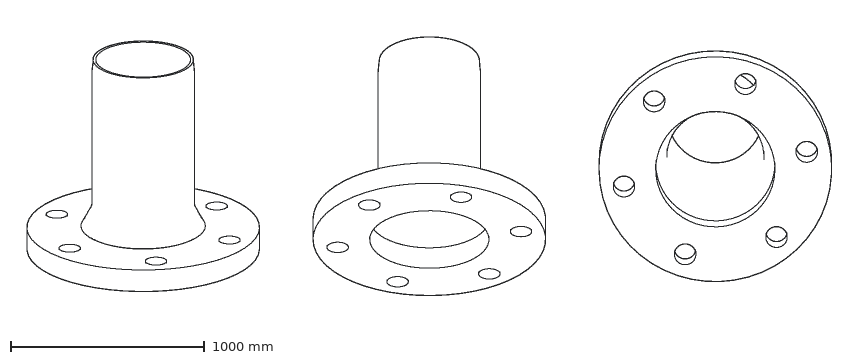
import cadquery as cq
import math

FLANGE_DIAMETER = 1200.0
FLANGE_THICKNESS = 120.0
FLANGE_BORE = 615.0
BOLT_CIRCLE_DIAMETER = 960.0
BOLT_HOLE_DIAMETER = 110.0
BOLT_COUNT = 6

TOTAL_HEIGHT = 1050.0
TUBE_OUTER_DIAMETER = 530.0
TUBE_INNER_DIAMETER = 500.0
FLARE_ANGLE = math.radians(28.0)
FLARE_TOP_Z = 250.0
FLARE_BEND_RADIUS = 79.0
NECK_ANGLE = math.radians(5.0)
NECK_START_Z = 978.0
NECK_BEND_RADIUS = 36.0

OUTER_RADIUS = TUBE_OUTER_DIAMETER / 2
INNER_RADIUS = TUBE_INNER_DIAMETER / 2
WALL = OUTER_RADIUS - INNER_RADIUS


def make_flange():
    """Flat ring with a circle of bolt holes, standing on Z = 0."""
    flange = cq.Workplane("XY").circle(FLANGE_DIAMETER / 2).circle(FLANGE_BORE / 2)
    flange = flange.extrude(FLANGE_THICKNESS)
    bolt_holes = (
        cq.Workplane("XY")
        .polarArray(BOLT_CIRCLE_DIAMETER / 2, 0, 360, BOLT_COUNT)
        .circle(BOLT_HOLE_DIAMETER / 2)
        .extrude(FLANGE_THICKNESS)
    )
    return flange.cut(bolt_holes)


def polar_point(center, radius, angle):
    """Point at a distance and angle from a center in the radius-height plane."""
    return (center[0] + radius * math.cos(angle), center[1] + radius * math.sin(angle))


def point_on_slope(start, angle, end_z):
    """Point at height end_z on a line through start leaning inward by angle from vertical."""
    return (start[0] - (end_z - start[1]) * math.tan(angle), end_z)


def across_wall(point, angle):
    """Step through the wall thickness to the opposite surface, in the direction of angle."""
    return polar_point(point, WALL, angle)


def make_tube():
    """Revolved wall whose end faces are square to the sloping wall."""
    flare_center = (OUTER_RADIUS + FLARE_BEND_RADIUS, FLARE_TOP_Z)
    flare_inner_radius = FLARE_BEND_RADIUS + WALL
    flare_end_angle = math.pi + FLARE_ANGLE
    flare_mid_angle = math.pi + FLARE_ANGLE / 2

    neck_center = (INNER_RADIUS - NECK_BEND_RADIUS, NECK_START_Z)
    neck_outer_radius = NECK_BEND_RADIUS + WALL

    flare_inner_start = polar_point(flare_center, flare_inner_radius, flare_end_angle)
    flare_inner_end = (FLANGE_BORE / 2, FLANGE_THICKNESS)
    flare_outer_end = across_wall(flare_inner_end, FLARE_ANGLE)

    neck_outer_start = polar_point(neck_center, neck_outer_radius, NECK_ANGLE)
    neck_inner_start = polar_point(neck_center, NECK_BEND_RADIUS, NECK_ANGLE)
    neck_outer_end = point_on_slope(neck_outer_start, NECK_ANGLE, TOTAL_HEIGHT)
    neck_inner_end = across_wall(neck_outer_end, NECK_ANGLE + math.pi)

    profile = (
        cq.Workplane("XZ")
        .moveTo(*flare_inner_end)
        .lineTo(*flare_outer_end)
        .lineTo(*polar_point(flare_center, FLARE_BEND_RADIUS, flare_end_angle))
        .threePointArc(
            polar_point(flare_center, FLARE_BEND_RADIUS, flare_mid_angle),
            (OUTER_RADIUS, FLARE_TOP_Z),
        )
        .lineTo(OUTER_RADIUS, NECK_START_Z)
        .threePointArc(polar_point(neck_center, neck_outer_radius, NECK_ANGLE / 2), neck_outer_start)
        .lineTo(*neck_outer_end)
        .lineTo(*neck_inner_end)
        .lineTo(*neck_inner_start)
        .threePointArc(
            polar_point(neck_center, NECK_BEND_RADIUS, NECK_ANGLE / 2),
            (INNER_RADIUS, NECK_START_Z),
        )
        .lineTo(INNER_RADIUS, FLARE_TOP_Z)
        .threePointArc(
            polar_point(flare_center, flare_inner_radius, flare_mid_angle),
            flare_inner_start,
        )
        .close()
    )
    return profile.revolve(360, (0, 0, 0), (0, 1, 0))


flange = make_flange()
tube = make_tube()
result = cq.Compound.makeCompound([flange.val(), tube.val()])